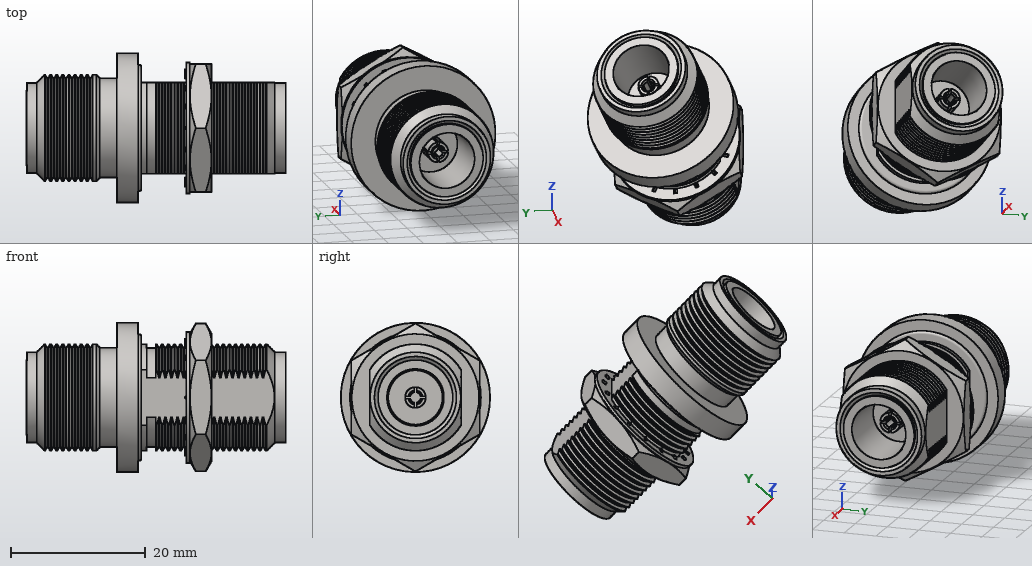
import cadquery as cq
import math

INCH = 25.4
total_length = 38.61

thread_radius = 5 / 8 * INCH / 2
thread_root_radius = 7.4
thread_pitch = INCH / 28
root_half = 0.075
flank_angle = math.radians(30)
mouth_half = root_half + (thread_radius - thread_root_radius) * math.tan(flank_angle)
front_groove_x = 4.10
rear_groove_x = 20.70

flange_radius = 22.23 / 2
gasket_radius = 9.42
neck_radius = thread_root_radius
lip_radius = 6.73
cone_length = thread_radius - lip_radius
shoulder_length = thread_radius - neck_radius

rim_x = 0.1
front_cone_x = 1.57
thread_shoulder_x = 10.97
flange_x = 13.49
flange_thickness = INCH / 8
flange_back_x = flange_x + flange_thickness
gasket_thickness = 0.48
gasket_rounding = 0.38
gasket_back_x = flange_back_x + gasket_thickness
collar_end_x = 17.93
rear_thread_x = 19.25
rear_cone_end_x = 36.98

flat_half_width = 6.8

rim_inner_radius = 6.1
insert_radius = 5.56
bore_mouth_radius = 4.25
bore_floor_radius = 4.03
bore_depth = 9.0
pin_radius = 1.54
pin_recess = 5.0
pin_hole_radius = 0.79
pin_hole_mouth_radius = 1.05
pin_hole_depth = 3.0
pin_slot_width = 0.36

washer_x = 23.8
washer_thickness = 0.53
washer_radius = 9.75
tooth_count = 16
tooth_inner_radius = 8.0
tooth_outer_radius = 8.7
tooth_side = 0.73

nut_x = washer_x + washer_thickness
nut_thickness = 3.25
nut_back_x = nut_x + nut_thickness
nut_across_flats = 3 / 4 * INCH
nut_face_radius = 9.45
nut_chamfer_angle = math.radians(30)


def revolve_about_axis(sketch):
    return sketch.close().revolve(360, (0, 0, 0), (1, 0, 0))


def cylinder(start_x, length, radius):
    return cq.Workplane("YZ", origin=(start_x, 0, 0)).circle(radius).extrude(length)


def thread_outline(sketch, start_x, end_x, groove_x):
    """Continue an outline along the thread, with every groove that fits between start_x and end_x."""
    first = math.ceil((start_x + mouth_half - groove_x) / thread_pitch)
    last = math.floor((end_x - mouth_half - groove_x) / thread_pitch)
    sketch = sketch.lineTo(start_x, thread_radius)
    for index in range(first, last + 1):
        center_x = groove_x + index * thread_pitch
        sketch = (
            sketch.lineTo(center_x - mouth_half, thread_radius)
            .lineTo(center_x - root_half, thread_root_radius)
            .lineTo(center_x + root_half, thread_root_radius)
            .lineTo(center_x + mouth_half, thread_radius)
        )
    return sketch.lineTo(end_x, thread_radius)


def front_barrel():
    """Lip, cone, thread, neck, flange and the round-edged gasket behind the flange."""
    rounding_x = gasket_back_x - gasket_rounding
    rounding_radius = gasket_radius - gasket_rounding
    rounding_middle = gasket_rounding * math.sin(math.radians(45))
    outline = (
        cq.Workplane("XY")
        .moveTo(rim_x, 0)
        .lineTo(rim_x, lip_radius)
        .lineTo(front_cone_x, lip_radius)
    )
    outline = thread_outline(
        outline, front_cone_x + cone_length, thread_shoulder_x - shoulder_length, front_groove_x
    )
    return revolve_about_axis(
        outline.lineTo(thread_shoulder_x, neck_radius)
        .lineTo(flange_x, neck_radius)
        .lineTo(flange_x, flange_radius)
        .lineTo(flange_back_x, flange_radius)
        .lineTo(flange_back_x, gasket_radius)
        .lineTo(rounding_x, gasket_radius)
        .threePointArc(
            (rounding_x + rounding_middle, rounding_radius + rounding_middle),
            (gasket_back_x, rounding_radius),
        )
        .lineTo(gasket_back_x, 0)
    )


def flats():
    """Material outside the two flats, from the gasket to the rear end."""
    length = total_length - gasket_back_x
    slab = cq.Workplane("XY").box(length, flange_radius, 2 * flange_radius, centered=(False, False, True))
    far_side = slab.translate((gasket_back_x, flat_half_width, 0))
    return far_side.union(far_side.mirror("XZ"))


def rear_barrel():
    """Collar, neck, thread, cone and lip behind the gasket, with the two flats."""
    outline = (
        cq.Workplane("XY")
        .moveTo(gasket_back_x, 0)
        .lineTo(gasket_back_x, thread_radius)
        .lineTo(collar_end_x, thread_radius)
        .lineTo(collar_end_x, neck_radius)
        .lineTo(rear_thread_x, neck_radius)
    )
    outline = thread_outline(outline, rear_thread_x, rear_cone_end_x - cone_length, rear_groove_x)
    barrel = revolve_about_axis(
        outline.lineTo(rear_cone_end_x, lip_radius)
        .lineTo(total_length, lip_radius)
        .lineTo(total_length, 0)
    )
    return barrel.cut(flats())


def socket_cavity(rim):
    """Space inside a front-facing socket: chamfer around the insert, then the tapered bore."""
    chamfer_end = rim + rim_inner_radius - insert_radius
    chamfer = revolve_about_axis(
        cq.Workplane("XY")
        .moveTo(rim, insert_radius)
        .lineTo(rim, rim_inner_radius)
        .lineTo(chamfer_end, insert_radius)
    )
    bore = revolve_about_axis(
        cq.Workplane("XY")
        .lineTo(0, bore_mouth_radius)
        .lineTo(bore_depth, bore_floor_radius)
        .lineTo(bore_depth, 0)
    )
    return chamfer.union(bore)


def socket_pin():
    """Slotted centre contact standing on the bore floor."""
    pin = cylinder(pin_recess, bore_depth - pin_recess, pin_radius)
    countersink = pin_hole_mouth_radius - pin_hole_radius
    hole_end = pin_recess + pin_hole_depth
    hole = revolve_about_axis(
        cq.Workplane("XY")
        .moveTo(pin_recess, 0)
        .lineTo(pin_recess, pin_hole_mouth_radius)
        .lineTo(pin_recess + countersink, pin_hole_radius)
        .lineTo(hole_end, pin_hole_radius)
        .lineTo(hole_end, 0)
    )
    slot = (
        cq.Workplane("XY")
        .box(pin_hole_depth, 2 * pin_radius, pin_slot_width, centered=(False, True, True))
        .translate((pin_recess, 0, 0))
    )
    crossed_slot = slot.rotate((0, 0, 0), (1, 0, 0), 90)
    return pin.cut(hole).cut(slot).cut(crossed_slot)


def facing_back(shape):
    """Turn a front-end feature round to the rear end."""
    return shape.rotate((0, 0, 0), (0, 0, 1), 180).translate((total_length, 0, 0))


def turned_body():
    """Both barrels with the front insert, the two sockets and their contacts."""
    front_insert = cylinder(0, bore_depth, insert_radius)
    body = rear_barrel().union(front_barrel()).union(front_insert)
    body = body.cut(socket_cavity(rim_x)).cut(facing_back(socket_cavity(0)))
    return body.union(socket_pin()).union(facing_back(socket_pin()))


def washer_ring(radius):
    """Solid from radius out of which the barrel is left clear."""
    return cylinder(washer_x, washer_thickness, radius)


def lock_washer():
    """Washer with short radial teeth, each a square bar set on edge."""
    washer = washer_ring(washer_radius)
    tooth = (
        cq.Workplane("XY")
        .box(tooth_side, tooth_side, tooth_outer_radius - tooth_inner_radius, centered=(True, True, False))
        .rotate((0, 0, 0), (0, 0, 1), 45)
        .translate((washer_x + washer_thickness / 2, 0, tooth_inner_radius))
    )
    for index in range(tooth_count):
        washer = washer.union(tooth.rotate((0, 0, 0), (1, 0, 0), index * 360 / tooth_count))
    return washer


def hex_nut():
    """Hexagon nut with corners up and down, chamfered on both faces."""
    corner_radius = nut_across_flats / 2 / math.cos(math.radians(30))
    chamfer_length = (corner_radius - nut_face_radius) * math.tan(nut_chamfer_angle)
    hexagon = (
        cq.Workplane("YZ", origin=(nut_x, 0, 0))
        .polygon(6, 2 * corner_radius)
        .extrude(nut_thickness)
        .rotate((0, 0, 0), (1, 0, 0), 90)
    )
    chamfer_envelope = revolve_about_axis(
        cq.Workplane("XY")
        .moveTo(nut_x, 0)
        .lineTo(nut_x, nut_face_radius)
        .lineTo(nut_x + chamfer_length, corner_radius)
        .lineTo(nut_back_x - chamfer_length, corner_radius)
        .lineTo(nut_back_x, nut_face_radius)
        .lineTo(nut_back_x, 0)
    )
    return hexagon.intersect(chamfer_envelope)


result = turned_body().union(lock_washer().union(hex_nut()))